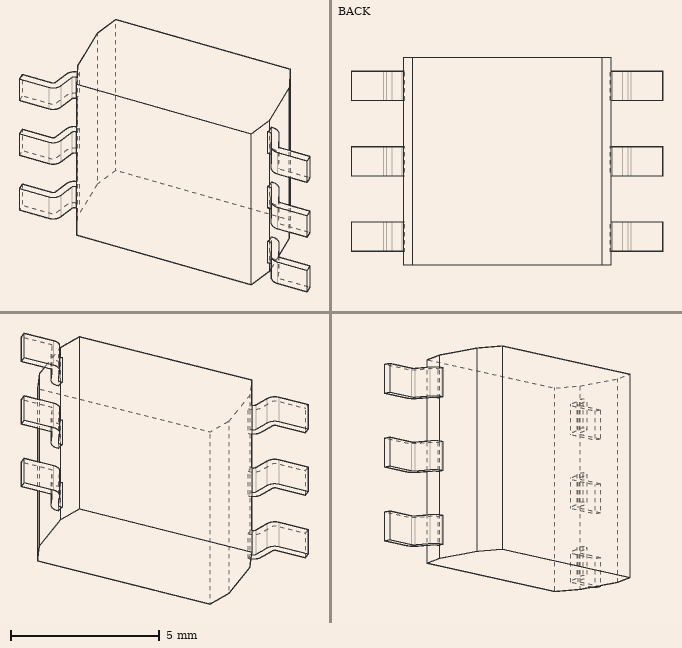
import cadquery as cq
import math

overall_span = 10.5
overall_depth = 3.5
body_side = 7.0
body_clearance = 0.05

bevel_depth = 0.86
bevel_inset = 0.32

lead_width = 1.0
lead_thickness = 0.25
lead_pitch = 2.54
leads_per_side = 3
lead_top = 1.07
foot_length = 1.08
inner_radius = 0.1
outer_radius = inner_radius + lead_thickness
bend_angle = math.radians(70)


def make_body():
    """Block with both pairs of long edges bevelled."""
    half = body_side / 2
    near = body_clearance
    far = overall_depth
    return (
        cq.Workplane("XY")
        .workplane(offset=-half)
        .moveTo(-half + bevel_inset, near)
        .lineTo(half - bevel_inset, near)
        .lineTo(half, near + bevel_depth)
        .lineTo(half, far - bevel_depth)
        .lineTo(half - bevel_inset, far)
        .lineTo(-half + bevel_inset, far)
        .lineTo(-half, far - bevel_depth)
        .lineTo(-half, near + bevel_depth)
        .close()
        .extrude(body_side)
    )


def make_left_lead(body, z_center):
    """Gull-wing lead on the -X side, trimmed flush with the body surface."""
    inner_run = inner_radius * math.sin(bend_angle)
    inner_rise = inner_radius * (1 - math.cos(bend_angle))
    outer_run = outer_radius * math.sin(bend_angle)
    outer_rise = outer_radius * (1 - math.cos(bend_angle))

    level_change = lead_top - lead_thickness
    slope_rise = level_change - inner_rise - outer_rise
    slope_run = slope_rise / math.tan(bend_angle)

    toe_x = -overall_span / 2
    foot_end_x = toe_x + foot_length
    shoulder_x = foot_end_x + inner_run + slope_run + outer_run
    inside_body_x = -body_side / 2 + bevel_inset

    blank = (
        cq.Workplane("XY")
        .workplane(offset=z_center - lead_width / 2)
        .moveTo(toe_x, 0)
        .lineTo(foot_end_x, 0)
        .tangentArcPoint((outer_run, outer_rise))
        .line(slope_run, slope_rise)
        .tangentArcPoint((inner_run, inner_rise))
        .lineTo(inside_body_x, level_change)
        .lineTo(inside_body_x, lead_top)
        .lineTo(shoulder_x, lead_top)
        .tangentArcPoint((-outer_run, -outer_rise))
        .line(-slope_run, -slope_rise)
        .tangentArcPoint((-inner_run, -inner_rise))
        .lineTo(toe_x, lead_thickness)
        .close()
        .extrude(lead_width)
    )
    return blank.cut(body)


body = make_body()

leads = []
for index in range(leads_per_side):
    z_center = (index - (leads_per_side - 1) / 2) * lead_pitch
    left_lead = make_left_lead(body, z_center)
    right_lead = left_lead.mirror("YZ")
    leads.append(left_lead.solids().val())
    leads.append(right_lead.solids().val())

result = cq.Compound.makeCompound([body.val(), *leads])